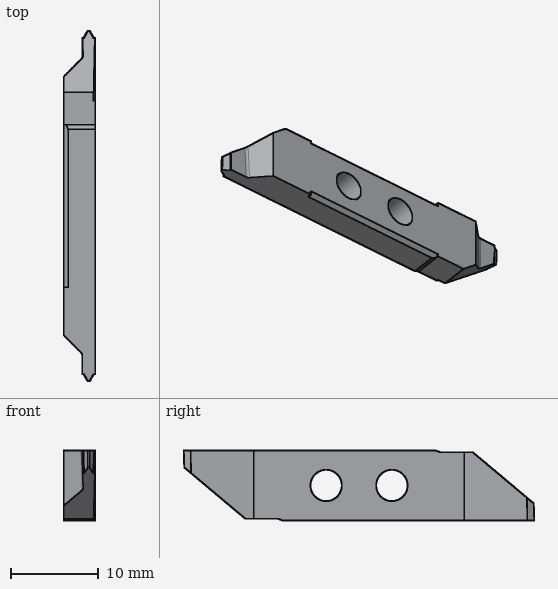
import cadquery as cq
import math

THICKNESS = 3.6
LENGTH = 40.0
HEIGHT = 8.0
HALF_X = THICKNESS / 2
HALF_Y = LENGTH / 2
HALF_Z = HEIGHT / 2

STEP_DEPTH = 0.2
STEP_START_Y = 8.75
STEP_END_Y = 9.25
NOSE_ANGLE = 40.0
NOSE_FACE_HEIGHT = 1.9

CHAMFER = 0.5

HOLE_DIAMETER = 3.55
HOLE_SPACING = 7.5

RELIEF_START_Y = 12.0
RELIEF_ANGLE = 1.5
SHOULDER_START_Y = 14.75
NECK_WIDTH = 1.5
NECK_END_Y = 19.2
NECK_LEFT_X = HALF_X - NECK_WIDTH
NECK_CENTER_X = HALF_X - NECK_WIDTH / 2
CORNER_RADIUS = 0.5

TIP_HALF_ANGLE = 30.0
TIP_FLAT = 0.25
TIP_DEPTH = 3.5
TIP_LENGTH = HALF_Y - NECK_END_Y
TIP_ROOT = TIP_FLAT + 2 * TIP_LENGTH * math.tan(math.radians(TIP_HALF_ANGLE))

OVERLAP = 0.5


def half_turn(shape):
    """Turn a shape 180 degrees about the X axis."""
    return shape.rotate((0, 0, 0), (1, 0, 0), 180)


def side_body():
    """Bar with the side outline: clearance steps and sloping noses."""
    step_z = HALF_Z - STEP_DEPTH
    nose_z = NOSE_FACE_HEIGHT - HALF_Z
    nose_run = (step_z - nose_z) / math.tan(math.radians(NOSE_ANGLE))
    upper = [
        (-HALF_Y, HALF_Z),
        (STEP_START_Y, HALF_Z),
        (STEP_END_Y, step_z),
        (HALF_Y - nose_run, step_z),
        (HALF_Y, nose_z),
    ]
    lower = [(-y, -z) for y, z in upper]
    outline = cq.Workplane("YZ").workplane(offset=-HALF_X).polyline(upper + lower).close()
    return outline.extrude(THICKNESS)


def end_envelope():
    """Shoulder, neck and tip of the -Y end, before the sloping nose is cut.

    Neck and tip taper inward below the cutting face for clearance.
    """
    top = cq.Workplane("XY").workplane(offset=HALF_Z)
    shoulder_run = HALF_X + NECK_CENTER_X
    shoulder = top.polyline([
        (-HALF_X, -RELIEF_START_Y),
        (-HALF_X, -SHOULDER_START_Y),
        (NECK_CENTER_X, -SHOULDER_START_Y - shoulder_run),
        (NECK_CENTER_X, -RELIEF_START_Y),
    ]).close().extrude(-HEIGHT)

    neck_length = NECK_END_Y - RELIEF_START_Y + OVERLAP
    neck_center_y = -NECK_END_Y + neck_length / 2
    neck = (
        top.center(NECK_CENTER_X, neck_center_y)
        .rect(NECK_WIDTH, neck_length)
        .extrude(-HEIGHT, taper=RELIEF_ANGLE)
    )

    corner_y = -SHOULDER_START_Y - (NECK_LEFT_X + HALF_X)
    corner = (NECK_LEFT_X, corner_y, HALF_Z / 2)
    end = shoulder.union(neck)
    end = end.edges(cq.selectors.NearestToPointSelector(corner)).fillet(CORNER_RADIUS)

    root_y = -NECK_END_Y
    tip = top.polyline([
        (NECK_CENTER_X - TIP_ROOT / 2, root_y + OVERLAP),
        (NECK_CENTER_X - TIP_ROOT / 2, root_y),
        (NECK_CENTER_X - TIP_FLAT / 2, -HALF_Y),
        (NECK_CENTER_X + TIP_FLAT / 2, -HALF_Y),
        (NECK_CENTER_X + TIP_ROOT / 2, root_y),
        (NECK_CENTER_X + TIP_ROOT / 2, root_y + OVERLAP),
    ]).close().extrude(-TIP_DEPTH, taper=RELIEF_ANGLE)
    return end.union(tip)


def edge_chamfer():
    """Wedge removed from the upper -X edge."""
    corner = cq.Workplane("XZ").workplane(offset=-STEP_END_Y).polyline([
        (-HALF_X, HALF_Z),
        (-HALF_X + CHAMFER, HALF_Z),
        (-HALF_X, HALF_Z - CHAMFER),
    ]).close()
    return corner.extrude(2 * STEP_END_Y)


def mounting_holes():
    """Pair of through holes along X."""
    return (
        cq.Workplane("YZ").workplane(offset=-HALF_X)
        .pushPoints([(-HOLE_SPACING / 2, 0), (HOLE_SPACING / 2, 0)])
        .circle(HOLE_DIAMETER / 2)
        .extrude(THICKNESS)
    )


middle = cq.Workplane("XY").box(THICKNESS, 2 * RELIEF_START_Y, HEIGHT)
end = end_envelope()
envelope = middle.union(end).union(half_turn(end))
chamfer = edge_chamfer()

result = side_body().intersect(envelope)
result = result.cut(chamfer).cut(half_turn(chamfer)).cut(mounting_holes())